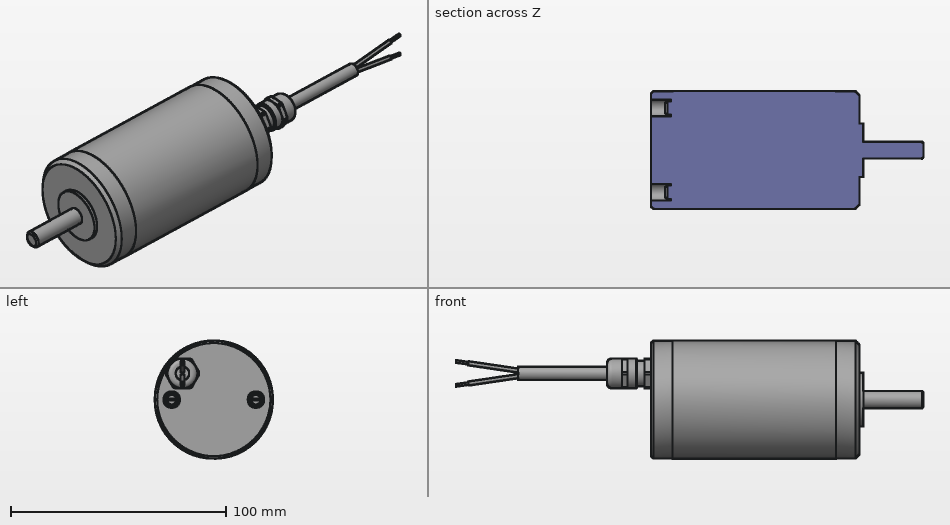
import cadquery as cq
import math

CABLE_START = 29.0
GLAND_START = 70.2
COLLAR_START = 77.2
GLAND_END = 84.1
BASE_NUT_START = 87.5
MOTOR_START = 90.6
TUBE_START = 100.6
TUBE_END = 176.7
MOTOR_END = 187.5
BOSS_END = 189.3
SHAFT_END = 217.4

TUBE_DIAMETER = 55.0
CAP_DIAMETER = 54.8
REAR_CHAMFER = 1.0
FRONT_CHAMFER = 2.0
BOSS_DIAMETER = 25.0
SHAFT_DIAMETER = 8.0
SHAFT_CHAMFER = 0.9

SCREW_OFFSET = 19.5
SCREW_HOLE_DIAMETER = 7.5
SCREW_HOLE_DEPTH = 9.1
SCREW_HEAD_DIAMETER = 6.3
SCREW_HEAD_HEIGHT = 2.5
SCREW_HEAD_CHAMFER = 0.9
SCREW_SLOT_WIDTH = 0.9
SCREW_SLOT_DEPTH = 1.0

GLAND_Y = 14.5
GLAND_Z = 12.2
GLAND_DIAMETER = 14.0
GLAND_ROUNDING = 2.4
GLAND_REAR_CHAMFER = 0.5
NECK_DIAMETER = 12.0
HEX_FLATS = 14.0
HEX_CORNER_DIAMETER = 15.5
HEX_SIDES = 6
COLLAR_THICKNESS = 2.5
CABLE_DIAMETER = 6.3

WIRE_DIAMETER = 2.0
STRIPPED_DIAMETER = 1.3
STRIPPED_LENGTH = 5.9
WIRE_ROOT_OFFSET = 1.3
WIRE_ANGLE = 8.4
WIRE_OVERLAP = 1.0


def rod(start, end, diameter, y=0, z=0):
    """Cylinder parallel to X between two stations."""
    plane = cq.Workplane("YZ", origin=(start, y, z))
    return plane.circle(diameter / 2).extrude(end - start)


def hex_nut(start, end):
    """Hexagon on the gland axis, flats up and down, with corners turned round."""
    plane = cq.Workplane("YZ", origin=(start, GLAND_Y, GLAND_Z))
    across_corners = HEX_FLATS / math.cos(math.pi / HEX_SIDES)
    hexagon = plane.polygon(HEX_SIDES, across_corners).extrude(end - start)
    return hexagon.intersect(rod(start, end, HEX_CORNER_DIAMETER, GLAND_Y, GLAND_Z))


def make_motor():
    caps = rod(MOTOR_START, MOTOR_END, CAP_DIAMETER)
    caps = caps.faces("<X").chamfer(REAR_CHAMFER).faces(">X").chamfer(FRONT_CHAMFER)
    tube = rod(TUBE_START, TUBE_END, TUBE_DIAMETER)
    boss = rod(MOTOR_END, BOSS_END, BOSS_DIAMETER)
    shaft = rod(MOTOR_END, SHAFT_END, SHAFT_DIAMETER).faces(">X").chamfer(SHAFT_CHAMFER)
    return caps.union(tube).union(boss).union(shaft)


def add_screw(motor, y):
    """Sink a hole in the rear face and leave a slotted screw head on its floor."""
    floor = MOTOR_START + SCREW_HOLE_DEPTH
    head_top = floor - SCREW_HEAD_HEIGHT
    hole = rod(MOTOR_START, floor, SCREW_HOLE_DIAMETER, y)
    head = rod(head_top, floor, SCREW_HEAD_DIAMETER, y).faces("<X").chamfer(SCREW_HEAD_CHAMFER)
    slot = cq.Workplane("YZ", origin=(head_top, y, 0))
    slot = slot.rect(SCREW_HEAD_DIAMETER, SCREW_SLOT_WIDTH).extrude(SCREW_SLOT_DEPTH)
    return motor.cut(hole).union(head.cut(slot))


def make_gland():
    gland = rod(GLAND_START, GLAND_END, GLAND_DIAMETER, GLAND_Y, GLAND_Z)
    gland = gland.faces("<X").edges().fillet(GLAND_ROUNDING)
    gland = gland.faces(">X").chamfer(GLAND_REAR_CHAMFER)
    neck = rod(GLAND_END, MOTOR_START, NECK_DIAMETER, GLAND_Y, GLAND_Z)
    collar = hex_nut(COLLAR_START, COLLAR_START + COLLAR_THICKNESS)
    base_nut = hex_nut(BASE_NUT_START, MOTOR_START)
    cable = rod(CABLE_START, GLAND_START, CABLE_DIAMETER, GLAND_Y, GLAND_Z)
    return gland.union(neck).union(collar).union(base_nut).union(cable)


def make_wire(side):
    """Wire leaving the cable end and leaning up (side 1) or down (side -1)."""
    angle = math.radians(WIRE_ANGLE)
    direction = cq.Vector(-math.cos(angle), 0, side * math.sin(angle))
    root = cq.Vector(CABLE_START, GLAND_Y, GLAND_Z + side * WIRE_ROOT_OFFSET)
    length = (CABLE_START - STRIPPED_DIAMETER / 2 * math.sin(angle)) / math.cos(angle)
    start = root - direction * WIRE_OVERLAP
    insulated = length - STRIPPED_LENGTH + WIRE_OVERLAP
    sleeve = cq.Solid.makeCylinder(WIRE_DIAMETER / 2, insulated, start, direction)
    core = cq.Solid.makeCylinder(STRIPPED_DIAMETER / 2, length + WIRE_OVERLAP, start, direction)
    return cq.Workplane(sleeve.fuse(core))


result = make_motor()
for screw_y in (-SCREW_OFFSET, SCREW_OFFSET):
    result = add_screw(result, screw_y)
result = result.union(make_gland())
for wire_side in (-1, 1):
    result = result.union(make_wire(wire_side))